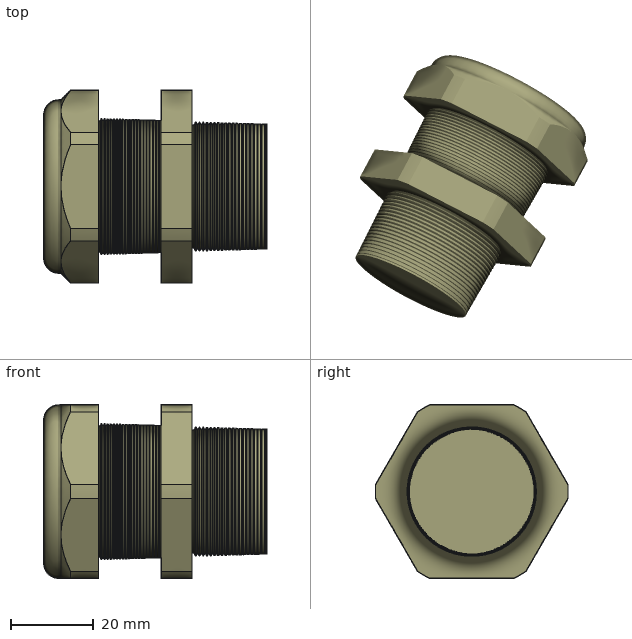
import cadquery as cq
import math


overall_length = 53.85
cap_length = 13.3
front_thread_length = 15.0
collar_length = 7.5
collar_start = cap_length + front_thread_length
collar_end = collar_start + collar_length

across_flats = 41.9
corner_diameter = 46.5
corner_radius = corner_diameter / 2

dome_radius = across_flats / 2
dome_fillet = 3.75
dome_length = 4.2
chamfer_length = corner_radius - dome_radius

spigot_radius = 12.5
spigot_rim = 0.25
recess_depth = 0.55

thread_taper = 1 / 32
groove_half_angle = math.radians(30)
groove_count = 20

front_thread_pitch = front_thread_length / groove_count
front_thread_root = 15.85
front_thread_crest = 16.4
front_groove_offset = 0.25

rear_thread_pitch = (overall_length - collar_end) / groove_count
rear_thread_root = 14.85
rear_thread_crest = 15.6
rear_groove_offset = 0.45


def cylinder(start, length, radius):
    """Solid cylinder on the X axis."""
    return cq.Workplane("YZ", origin=(start, 0, 0)).circle(radius).extrude(length)


def revolve_about_x(profile):
    """Full turn of an XY profile about the X axis."""
    return profile.close().revolve(360, (0, 0, 0), (1, 0, 0))


def rounded_hexagon(start, length):
    """Hexagonal prism with two corners on Y and all corners turned to a cylinder."""
    vertex_diameter = across_flats / math.cos(math.radians(30))
    prism = cq.Workplane("YZ", origin=(start, 0, 0)).polygon(6, vertex_diameter).extrude(length)
    return prism.intersect(cylinder(start, length, corner_radius))


def tapered_thread(start, end, crest, root, pitch, groove_offset):
    """Solid cone with a row of V-shaped ring grooves."""

    def crest_radius(x):
        return crest - thread_taper * (x - start)

    slope = math.tan(groove_half_angle)
    profile = cq.Workplane("XY").moveTo(start, 0).lineTo(start, root)
    for index in range(groove_count):
        groove_x = start + groove_offset + index * pitch
        half_width = (crest_radius(groove_x) - root) * slope
        left_x = groove_x - half_width / (1 - thread_taper * slope)
        right_x = groove_x + half_width / (1 + thread_taper * slope)
        if index > 0:
            profile = profile.lineTo(left_x, crest_radius(left_x))
        profile = profile.lineTo(groove_x, root).lineTo(right_x, crest_radius(right_x))
    profile = profile.lineTo(end, crest_radius(end)).lineTo(end, 0)
    return revolve_about_x(profile)


def make_cap_nut():
    """Hexagonal nut with a domed front, a chamfered hexagon and a through bore."""
    fillet_offset = dome_fillet * math.sqrt(0.5)
    turned_outline = revolve_about_x(
        cq.Workplane("XY")
        .lineTo(0, dome_radius - dome_fillet)
        .threePointArc(
            (dome_fillet - fillet_offset, dome_radius - dome_fillet + fillet_offset),
            (dome_fillet, dome_radius),
        )
        .lineTo(dome_length, dome_radius)
        .lineTo(dome_length + chamfer_length, corner_radius)
        .lineTo(cap_length, corner_radius)
        .lineTo(cap_length, 0)
    )
    blank = rounded_hexagon(0, cap_length).intersect(turned_outline)
    return blank.cut(cylinder(0, cap_length, spigot_radius))


def make_gland_body():
    """Recessed spigot, front thread, hexagonal collar and rear thread in one solid."""
    front_thread = tapered_thread(
        cap_length, collar_start, front_thread_crest, front_thread_root,
        front_thread_pitch, front_groove_offset,
    )
    rear_thread = tapered_thread(
        collar_end, overall_length, rear_thread_crest, rear_thread_root,
        rear_thread_pitch, rear_groove_offset,
    )
    spigot = cylinder(0, cap_length, spigot_radius)
    recess = cylinder(0, recess_depth, spigot_radius - spigot_rim)
    collar = rounded_hexagon(collar_start, collar_length)
    return spigot.cut(recess).union(front_thread).union(collar).union(rear_thread)


cap_nut = make_cap_nut()
gland_body = make_gland_body()

result = cq.Compound.makeCompound([cap_nut.solids().val(), gland_body.solids().val()])